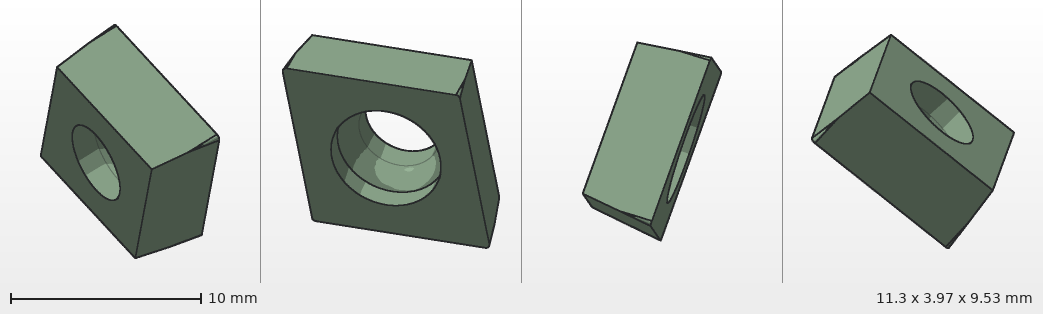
import cadquery as cq
import math

length = 11.27
thickness = 3.97
corner_angle = math.radians(80)
relief_slope = math.tan(math.radians(7))
corner_radius = 0.23

hole_radius = 2.2
straight_depth = 1.37
flare_radius = 1.5
seat_radius = 3.0

corner_loss = corner_radius * (1 / math.tan(corner_angle / 2) - 1)
side = (length + 2 * corner_loss) / (1 + math.cos(corner_angle))
half_height = side * math.sin(corner_angle) / 2


def rhombus(inset):
    """Corners in (x, z), with every side moved inward by inset."""
    scale = 1 - inset / half_height
    half_side = scale * side / 2
    lean = half_side * math.cos(corner_angle)
    top = scale * half_height
    return [
        (-half_side - lean, -top),
        (half_side - lean, -top),
        (half_side + lean, top),
        (-half_side + lean, top),
    ]


def plane_at(y):
    """Plane facing -Y whose local axes are X and Z."""
    return cq.Workplane("XZ", origin=(0, y, 0))


def make_body():
    wide = plane_at(thickness).polyline(rhombus(0)).close()
    narrow_points = rhombus(thickness * relief_slope)
    return wide.workplane(offset=thickness).polyline(narrow_points).close().loft(ruled=True)


def corner_waste(corner, center):
    """Material outside the cone that rounds one corner."""
    dx = corner[0] - center[0]
    dz = corner[1] - center[1]
    reach = math.hypot(dx, dz)
    along = (corner_radius / reach) ** 2
    across = along * math.sqrt((reach / corner_radius) ** 2 - 1)
    tangents = [
        (center[0] + along * dx - sign * across * dz, center[1] + along * dz + sign * across * dx)
        for sign in (-1, 1)
    ]
    depth = corner_radius / relief_slope
    kite = plane_at(thickness).polyline([center, tangents[0], corner, tangents[1]]).close().extrude(depth)
    cone = cq.Solid.makeCone(
        corner_radius, 0, depth, pnt=cq.Vector(center[0], thickness, center[1]), dir=cq.Vector(0, -1, 0)
    )
    return kite.cut(cq.Workplane(obj=cone))


def make_hole():
    """Bore that flares through a convex arc into the wider screw seat."""
    rise = seat_radius - hole_radius
    end_angle = math.acos(1 - rise / flare_radius)
    flare_end = straight_depth + flare_radius * math.sin(end_angle)
    middle = (
        hole_radius + flare_radius * (1 - math.cos(end_angle / 2)),
        straight_depth + flare_radius * math.sin(end_angle / 2),
    )
    profile = (
        cq.Workplane("XY")
        .lineTo(hole_radius, 0)
        .lineTo(hole_radius, straight_depth)
        .threePointArc(middle, (seat_radius, flare_end))
        .lineTo(seat_radius, thickness)
        .lineTo(0, thickness)
        .close()
    )
    return profile.revolve(360, (0, 0, 0), (0, 1, 0))


result = make_body().cut(make_hole())
for corner, center in zip(rhombus(0), rhombus(corner_radius)):
    result = result.cut(corner_waste(corner, center))